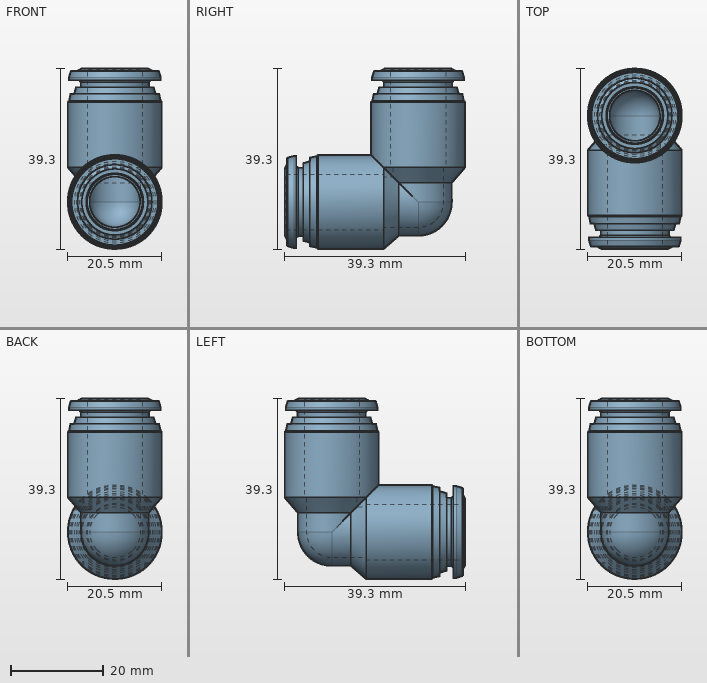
import cadquery as cq

OVERALL_LENGTH = 39.25
BODY_DIAMETER = 20.5
BODY_RADIUS = BODY_DIAMETER / 2
ARM_LENGTH = OVERALL_LENGTH - BODY_RADIUS

ELBOW_RADIUS = 7.38
ELBOW_END = 4.2
BODY_START = 7.5
BODY_END = 21.7
BODY_CHAMFER_END = 21.98
BODY_CHAMFER_RADIUS = 9.95

OUTER_COLLAR_END = 23.47
OUTER_COLLAR_TIP_RADIUS = 9.65
INNER_COLLAR_BASE_RADIUS = 8.87
INNER_COLLAR_END = 24.95
INNER_COLLAR_TIP_RADIUS = 8.45

NECK_RADIUS = 14.9 / 2
NECK_END = 26.02
NECK_FLARE_RADIUS = 7.7
FLANGE_RADIUS = 20.0 / 2
FLANGE_START = 26.4
FLANGE_TAPER_START = 27.05
FLANGE_TAPER_END = 28.35
FLANGE_TAPER_END_RADIUS = 9.6
FLANGE_END = 28.55
FLANGE_FACE_RADIUS = 9.4
MOUTH_BASE_RADIUS = 8.1
MOUTH_OUTER_RADIUS = 7.2

BORE_RADIUS = 11.0 / 2
TUBE_SOCKET_RADIUS = 12.0 / 2
TUBE_SOCKET_START = BODY_START
MOUTH_CHAMFER = 0.25


def revolve_about_z(points):
    """Revolve a closed (radius, height) outline about the Z axis."""
    return cq.Workplane("XZ").polyline(points).close().revolve(360, (0, 0), (0, 1))


def outer_arm():
    """Solid arm standing on the axis crossing and pointing along +Z."""
    return revolve_about_z([
        (0, 0),
        (ELBOW_RADIUS, 0),
        (ELBOW_RADIUS, ELBOW_END),
        (BODY_RADIUS, BODY_START),
        (BODY_RADIUS, BODY_END),
        (BODY_CHAMFER_RADIUS, BODY_CHAMFER_END),
        (OUTER_COLLAR_TIP_RADIUS, OUTER_COLLAR_END),
        (INNER_COLLAR_BASE_RADIUS, OUTER_COLLAR_END),
        (INNER_COLLAR_TIP_RADIUS, INNER_COLLAR_END),
        (NECK_RADIUS, INNER_COLLAR_END),
        (NECK_RADIUS, NECK_END),
        (NECK_FLARE_RADIUS, FLANGE_START),
        (FLANGE_RADIUS, FLANGE_START),
        (FLANGE_RADIUS, FLANGE_TAPER_START),
        (FLANGE_TAPER_END_RADIUS, FLANGE_TAPER_END),
        (FLANGE_FACE_RADIUS, FLANGE_END),
        (MOUTH_BASE_RADIUS, FLANGE_END),
        (MOUTH_OUTER_RADIUS, ARM_LENGTH),
        (0, ARM_LENGTH),
    ])


def passage_arm():
    """Stepped bore along +Z, widened at the mouth by a chamfer."""
    return revolve_about_z([
        (0, 0),
        (BORE_RADIUS, 0),
        (BORE_RADIUS, TUBE_SOCKET_START),
        (TUBE_SOCKET_RADIUS, TUBE_SOCKET_START),
        (TUBE_SOCKET_RADIUS, ARM_LENGTH - MOUTH_CHAMFER),
        (TUBE_SOCKET_RADIUS + MOUTH_CHAMFER, ARM_LENGTH),
        (0, ARM_LENGTH),
    ])


def make_elbow(arm, corner_radius):
    """Join an upright arm to its copy along -Y, with a ball rounding the corner."""
    side_arm = arm.rotate((0, 0, 0), (1, 0, 0), 90)
    ball = cq.Workplane("XY").sphere(corner_radius)
    return arm.union(side_arm).union(ball)


outside = make_elbow(outer_arm(), ELBOW_RADIUS)
passage = make_elbow(passage_arm(), BORE_RADIUS)
result = outside.cut(passage)